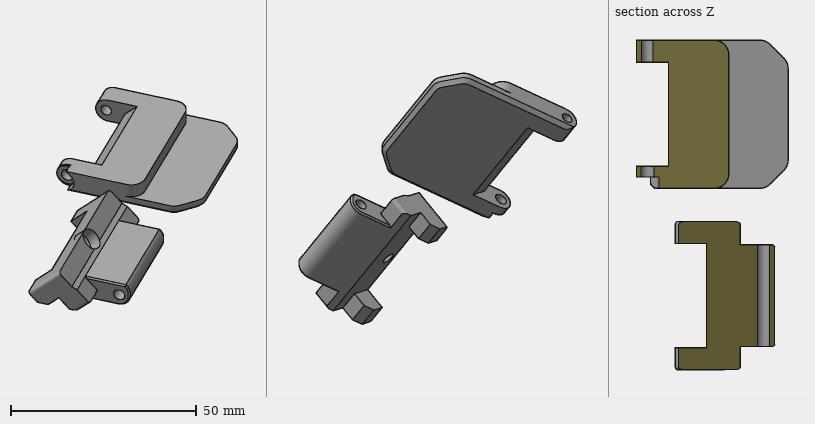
import cadquery as cq
import math

total_width = 89.0
part_width = 40.05
notch_width = 28.0
overrun = 8.9

hinge_height = 7.0
hinge_half = hinge_height / 2
axis_inset = 3.0

plate_length = 41.0
ledge_start = 25.0
ledge_height = 3.0
block_corner_radius = 4.0
corner_cut = 6.05
corner_cut_radius = 4.0
underside_chamfer = 1.2
nose_tip_x = 8.4
relief_width = 3.0
relief_radius = axis_inset
boss_length = 0.2
front_arm_hole = 3.4
back_arm_hole = 3.0

apex_x = 19.3
bracket_height = 11.5
apex_z = 11.2
bracket_base_z = apex_z - bracket_height
leg_thickness = 6.0
left_leg_length = 12.5
right_leg_length = 11.9
pad_height = 0.5
pad_ramp_start = 5.25
pad_ramp_end = pad_height + math.sqrt(2) * (bracket_height - hinge_height)
leg_edge_fillet = 1.0
barrel_width = 27.5
barrel_reach = 18.1
barrel_top_flat_inset = 1.25
barrel_top_radius = 2.9
barrel_chamfer = 0.45
barrel_hole = 3.2
screw_hole = 3.4
screw_head = 6.0
screw_head_depth = 3.6
drill_point_angle = 120.0
screw_head_wall = 0.02

bracket_y = part_width - total_width


def xz_plane(x, y, z):
    """Plane at the given point with local X along +X and local Y along +Z, facing -Y."""
    return cq.Workplane(cq.Plane(origin=(x, y, z), xDir=(1, 0, 0), normal=(0, -1, 0)))


def plate_blank():
    """Low plate with cut corners, carrying a full-height block on the hinge side."""
    half = part_width / 2
    outline = [
        (0, -half),
        (plate_length - corner_cut, -half),
        (plate_length, -half + corner_cut),
        (plate_length, half - corner_cut),
        (plate_length - corner_cut, half),
        (0, half),
    ]
    base = cq.Workplane("XY").polyline(outline).close().extrude(ledge_height)
    base = base.edges("|Z").edges("not <X").fillet(corner_cut_radius)
    base = base.faces("<Z").edges("not <X").chamfer(underside_chamfer)

    block = (
        cq.Workplane("XY", origin=(0, 0, ledge_height))
        .box(ledge_start, part_width, hinge_height - ledge_height, centered=(False, True, False))
        .edges("|Z and >X")
        .fillet(block_corner_radius)
    )
    return base.union(block)


def arm_end_rounding():
    """Material outside the rounded hinge end of the arms."""
    return (
        xz_plane(0, 0, hinge_half)
        .moveTo(hinge_half, hinge_half)
        .threePointArc((0, 0), (hinge_half, -hinge_half))
        .lineTo(hinge_half, -overrun)
        .lineTo(-overrun, -overrun)
        .lineTo(-overrun, overrun)
        .lineTo(hinge_half, overrun)
        .close()
        .extrude(part_width, both=True)
    )


def notch_between_arms():
    """Space between the arms, ending in a pointed nose at mid height."""
    root_x = nose_tip_x + hinge_half
    outline = [
        (-overrun, hinge_half),
        (root_x, hinge_half),
        (nose_tip_x, 0),
        (root_x, -hinge_half),
        (-overrun, -hinge_half),
    ]
    return xz_plane(0, 0, hinge_half).polyline(outline).close().extrude(notch_width / 2, both=True)


def front_arm_relief():
    """Pocket down to the foot of the boss: an arc about the hinge axis with two 45 degree tangents."""
    tangent = relief_radius / math.sqrt(2)
    run_out = 2 * tangent - hinge_half
    return (
        xz_plane(axis_inset, -part_width / 2 + relief_width + boss_length, hinge_half)
        .moveTo(run_out, hinge_half)
        .lineTo(tangent, tangent)
        .threePointArc((relief_radius, 0), (tangent, -tangent))
        .lineTo(run_out, -hinge_half)
        .lineTo(-overrun, -hinge_half)
        .lineTo(-overrun, hinge_half)
        .close()
        .extrude(relief_width + boss_length)
    )


def hinge_cylinder(diameter, y_front, length):
    """Cylinder on the hinge axis of the plate, running toward +Y from y_front."""
    return xz_plane(axis_inset, y_front, hinge_half).circle(diameter / 2).extrude(-length)


def make_plate():
    """Plate with two hinge arms; the front arm carries the boss and the pocket."""
    front_y = -part_width / 2
    boss = hinge_cylinder(2 * axis_inset, front_y + relief_width, boss_length)

    plate = plate_blank().cut(arm_end_rounding()).cut(notch_between_arms())
    plate = plate.cut(front_arm_relief().cut(boss))
    plate = plate.cut(hinge_cylinder(front_arm_hole, front_y, part_width / 2))
    return plate.cut(hinge_cylinder(back_arm_hole, 0, part_width))


def leg_plane():
    """Plane at the apex: local X runs down the right leg, local -Y down the left leg."""
    return cq.Workplane(
        cq.Plane(origin=(apex_x, bracket_y, apex_z), xDir=(1, 0, -1), normal=(0, -1, 0))
    )


def angle_blank():
    """Right-angle section with a raised pad on the right leg and rounded outer side edges."""
    outline = [
        (0, 0),
        (pad_ramp_start, 0),
        (pad_ramp_end, pad_height),
        (right_leg_length, pad_height),
        (right_leg_length, -leg_thickness),
        (leg_thickness, -leg_thickness),
        (leg_thickness, -left_leg_length),
        (0, -left_leg_length),
    ]
    angle = leg_plane().polyline(outline).close().extrude(part_width / 2, both=True)
    left_face = cq.selectors.DirectionNthSelector(cq.Vector(1, 0, -1), 0)
    right_end = cq.selectors.DirectionNthSelector(cq.Vector(1, 0, -1), -1)
    angle = angle.faces(left_face).edges("<Y or >Y").fillet(leg_edge_fillet)
    return angle.faces(right_end).edges("<Y or >Y").fillet(leg_edge_fillet)


def left_leg_notch():
    """Gap that leaves the left leg as two arms."""
    return (
        leg_plane()
        .moveTo(-overrun, -leg_thickness)
        .lineTo(leg_thickness, -leg_thickness)
        .lineTo(leg_thickness, -left_leg_length - overrun)
        .lineTo(-overrun, -left_leg_length - overrun)
        .close()
        .extrude(notch_width / 2, both=True)
    )


def below_feet():
    """Everything under the flat feet of the legs."""
    return cq.Workplane("XY", origin=(apex_x, bracket_y, bracket_base_z - overrun / 2)).box(
        2 * plate_length, 2 * part_width, overrun
    )


def barrel_blank():
    """Hinge barrel from the foot of the pad ramp: flat top, small upper and large lower end rounds."""
    end_x = barrel_reach
    flat_end_x = end_x - barrel_top_flat_inset
    arc_centre_x = end_x - barrel_top_radius
    arc_end_angle = math.acos((flat_end_x - arc_centre_x) / barrel_top_radius)
    arc_centre_z = hinge_half - barrel_top_radius * math.sin(arc_end_angle)
    arc_middle = (
        arc_centre_x + barrel_top_radius * math.cos(arc_end_angle / 2),
        arc_centre_z + barrel_top_radius * math.sin(arc_end_angle / 2),
    )
    root_x = (pad_ramp_end + pad_height) / math.sqrt(2)
    barrel = (
        xz_plane(apex_x, bracket_y, bracket_base_z + hinge_half)
        .moveTo(root_x, hinge_half)
        .lineTo(flat_end_x, hinge_half)
        .threePointArc(arc_middle, (end_x, arc_centre_z))
        .lineTo(end_x, 0)
        .threePointArc(
            (end_x - hinge_half + hinge_half / math.sqrt(2), -hinge_half / math.sqrt(2)),
            (end_x - hinge_half, -hinge_half),
        )
        .lineTo(root_x, -hinge_half)
        .close()
        .extrude(barrel_width / 2, both=True)
    )
    return barrel.faces("<Y or >Y").chamfer(barrel_chamfer)


def barrel_pin_hole():
    """Through hole on the hinge axis of the bracket."""
    return (
        xz_plane(apex_x + barrel_reach - axis_inset, bracket_y, bracket_base_z + hinge_half)
        .circle(barrel_hole / 2)
        .extrude(barrel_width, both=True)
    )


def screw_recess():
    """Head recess, drill-point cone and shank, square to the right leg beside the left face."""
    head_radius = screw_head / 2
    shank_radius = screw_hole / 2
    cone_end_depth = screw_head_depth + (head_radius - shank_radius) / math.tan(
        math.radians(drill_point_angle / 2)
    )
    half_section = [
        (0, overrun),
        (head_radius, overrun),
        (head_radius, -screw_head_depth),
        (shank_radius, -cone_end_depth),
        (shank_radius, -leg_thickness - overrun),
        (0, -leg_thickness - overrun),
    ]
    return (
        leg_plane()
        .center(head_radius + screw_head_wall, 0)
        .polyline(half_section)
        .close()
        .revolve(360, (0, 0), (0, 1))
    )


def make_bracket():
    """Right-angle bracket with two arms on its left leg and a hinge barrel."""
    bracket = angle_blank().cut(left_leg_notch()).union(barrel_blank())
    bracket = bracket.cut(below_feet())
    return bracket.cut(barrel_pin_hole()).cut(screw_recess())


plate = make_plate()
bracket = make_bracket()
result = cq.Compound.makeCompound([plate.val(), bracket.val()])